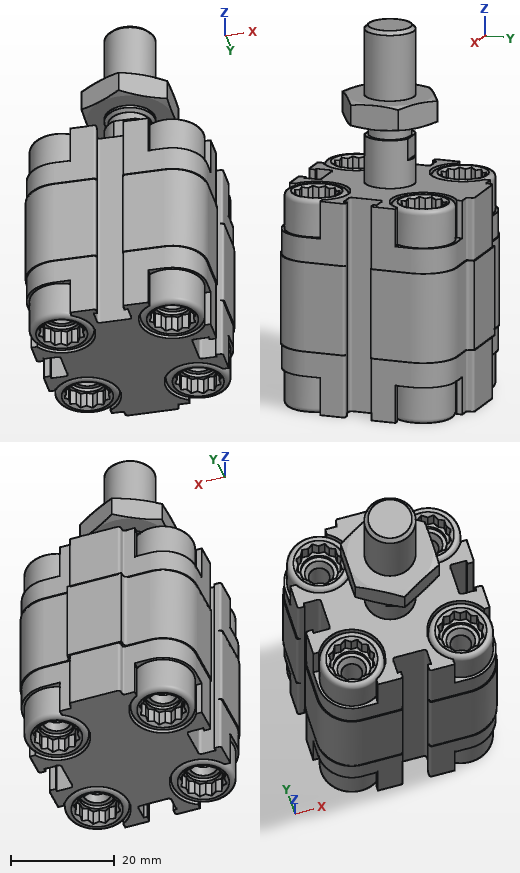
import cadquery as cq
import math

TOTAL_HEIGHT = 74.5
BODY_HEIGHT = 43.0
CAP_HEIGHT = 12.5

HEXAGON_TURN = 30.0

BARREL_WIDTH = 36.0
BARREL_HALF_WIDTH = BARREL_WIDTH / 2
CAP_STEP = 0.2
CAP_HALF_WIDTH = BARREL_HALF_WIDTH - CAP_STEP
SCREW_SPACING = 22.0
SCREW_OFFSET = SCREW_SPACING / 2

RIB_HEIGHT = 1.5
RIB_TOP_HALF_WIDTH = 5.6
RIB_BASE_HALF_WIDTH = 5.7
RIB_FOOT_FILLET = 0.7
CAP_RIB_INSET = 0.4
CAP_RIB_EDGE_FILLET = 0.5
CAP_RIB_FOOT_FILLET = 0.3

SLOT_MOUTH_WIDTH = 5.4
SLOT_INNER_WIDTH = 6.8
SLOT_FLOOR = 13.05
SLOT_LIP = 16.4
SLOT_MOUTH_FILLET = 0.45
SLOT_FLOOR_FILLET = 0.5

POCKET_DEPTH = 7.5
POCKET_WALL = 7.75
POCKET_DIAMETER = 13.05
HEAD_DIAMETER = 12.5
HEAD_FILLET = 1.0
SOCKET_RIM_DIAMETER = 10.0
SOCKET_POINT_DIAMETER = 9.1
SOCKET_TAPER = 60.0
SOCKET_DEPTH = 3.5
RECESS_DIAMETER = 7.2
RECESS_DEPTH = 0.75
BORE_COUNTERSINK_DIAMETER = 5.6
BORE_COUNTERSINK_DEPTH = 1.5
BORE_DIAMETER = 4.1

ROD_DIAMETER = 10.0
ROD_SHOULDER_Z = 52.6
NECK_DIAMETER = 8.5
NECK_HEIGHT = 1.85
NECK_TAPER_HEIGHT = 0.6
THREAD_CHAMFER = 0.75
FLATS_ACROSS = 9.0
FLATS_HEIGHT = 4.3

NUT_ACROSS_FLATS = 17.0
NUT_THICKNESS = 5.0
NUT_BOTTOM_Z = 55.6
NUT_FACE_DIAMETER = 16.7
NUT_CORNER_DROP = 0.45


def turned(half_profile):
    """Solid of revolution about Z from (radius, height) points."""
    return cq.Workplane("XZ").polyline(half_profile).close().revolve(360, (0, 0, 0), (0, 1, 0))


def rib(half_width, top_half_width, base_half_width, height):
    """Tapered rib on the +Y face of a block with the given half width."""
    top_y = half_width + RIB_HEIGHT
    outline = [
        (-base_half_width, 0),
        (-base_half_width, half_width),
        (-top_half_width, top_y),
        (top_half_width, top_y),
        (base_half_width, half_width),
        (base_half_width, 0),
    ]
    return cq.Workplane("XY").polyline(outline).close().extrude(height)


def block(half_width, height):
    """Square block, its corners rounded about the screw axes."""
    corner_radius = half_width - SCREW_OFFSET
    return (
        cq.Workplane("XY")
        .rect(2 * half_width, 2 * half_width)
        .extrude(height)
        .edges("|Z")
        .fillet(corner_radius)
    )


def block_with_rib(half_width, plain_rib, rib_base_half_width, foot_fillet, height):
    """Square block joined to its rib, with a fillet along each foot of the rib."""
    section = block(half_width, height).union(plain_rib)
    for side in (-1, 1):
        foot = (side * rib_base_half_width, half_width, height / 2)
        section = section.edges(cq.NearestToPointSelector(foot)).fillet(foot_fillet)
    return section


def barrel_section():
    """Middle section of the housing."""
    height = BODY_HEIGHT - 2 * CAP_HEIGHT
    barrel_rib = rib(BARREL_HALF_WIDTH, RIB_TOP_HALF_WIDTH, RIB_BASE_HALF_WIDTH, height)
    section = block_with_rib(BARREL_HALF_WIDTH, barrel_rib, RIB_BASE_HALF_WIDTH, RIB_FOOT_FILLET, height)
    return section.translate((0, 0, CAP_HEIGHT))


def cap_section(bottom_z):
    """End cap section of the housing, whose rib has rounded outer edges."""
    top_half_width = RIB_TOP_HALF_WIDTH - CAP_RIB_INSET
    base_half_width = RIB_BASE_HALF_WIDTH - CAP_RIB_INSET
    cap_rib = rib(CAP_HALF_WIDTH, top_half_width, base_half_width, CAP_HEIGHT)
    cap_rib = cap_rib.faces(">Y").edges("|Z").fillet(CAP_RIB_EDGE_FILLET)
    section = block_with_rib(CAP_HALF_WIDTH, cap_rib, base_half_width, CAP_RIB_FOOT_FILLET, CAP_HEIGHT)
    return section.translate((0, 0, bottom_z))


def slot_cutter(half_width, bottom_z, height):
    """T-slot on the -Y side, with filleted floor corners and a mouth that flares into the outer face."""
    mouth = SLOT_MOUTH_WIDTH / 2
    inner = SLOT_INNER_WIDTH / 2
    radius = SLOT_MOUTH_FILLET
    sag = radius * (1 - math.sqrt(0.5))
    return (
        cq.Workplane("XY", origin=(0, 0, bottom_z))
        .moveTo(-inner, -SLOT_FLOOR)
        .lineTo(inner, -SLOT_FLOOR)
        .lineTo(inner, -SLOT_LIP)
        .lineTo(mouth, -SLOT_LIP)
        .lineTo(mouth, -half_width + radius)
        .threePointArc((mouth + sag, -half_width + sag), (mouth + radius, -half_width))
        .lineTo(-mouth - radius, -half_width)
        .threePointArc((-mouth - sag, -half_width + sag), (-mouth, -half_width + radius))
        .lineTo(-mouth, -SLOT_LIP)
        .lineTo(-inner, -SLOT_LIP)
        .close()
        .extrude(height)
        .faces(">Y")
        .edges("|Z")
        .fillet(SLOT_FLOOR_FILLET)
    )


def corner_pocket():
    """Pocket at the top +X +Y corner that clears the screw head."""
    bottom_z = BODY_HEIGHT - POCKET_DEPTH
    corner_size = BARREL_HALF_WIDTH - POCKET_WALL
    corner = cq.Workplane("XY", origin=(POCKET_WALL, POCKET_WALL, bottom_z))
    corner = corner.rect(corner_size, corner_size, centered=False).extrude(POCKET_DEPTH)
    ring = cq.Workplane("XY", origin=(SCREW_OFFSET, SCREW_OFFSET, bottom_z))
    ring = ring.circle(POCKET_DIAMETER / 2).extrude(POCKET_DEPTH)
    return corner.union(ring)


def screw_head():
    """Screw head in the top +X +Y corner, with a twelve-point socket and a countersunk bore mouth."""
    bottom_z = BODY_HEIGHT - POCKET_DEPTH
    head = (
        cq.Workplane("XY", origin=(0, 0, bottom_z))
        .circle(HEAD_DIAMETER / 2)
        .extrude(POCKET_DEPTH)
        .faces(">Z")
        .edges()
        .fillet(HEAD_FILLET)
    )

    hexagon = (
        cq.Workplane("XY", origin=(0, 0, BODY_HEIGHT - SOCKET_DEPTH))
        .polygon(6, SOCKET_POINT_DIAMETER)
        .extrude(SOCKET_DEPTH)
    )
    socket = hexagon.union(hexagon.rotate((0, 0, 0), (0, 0, 1), HEXAGON_TURN))

    rim = SOCKET_RIM_DIAMETER / 2
    lead_in_depth = rim / math.tan(math.radians(SOCKET_TAPER))
    lead_in = turned([(0, BODY_HEIGHT), (rim, BODY_HEIGHT), (0, BODY_HEIGHT - lead_in_depth)])

    recess_top = BODY_HEIGHT - SOCKET_DEPTH
    recess_floor = recess_top - RECESS_DEPTH
    sink = BORE_COUNTERSINK_DIAMETER / 2
    bore = BORE_DIAMETER / 2
    sink_bottom = recess_floor - BORE_COUNTERSINK_DEPTH
    stepped = turned(
        [
            (0, recess_top),
            (RECESS_DIAMETER / 2, recess_top),
            (RECESS_DIAMETER / 2, recess_floor),
            (sink, recess_floor),
            (bore, sink_bottom),
            (0, sink_bottom),
        ]
    )

    return head.cut(socket).cut(lead_in).cut(stepped).translate((SCREW_OFFSET, SCREW_OFFSET, 0))


def four_corners(shape):
    """The shape and its copies turned about the housing axis to all four corners."""
    return [shape.rotate((0, 0, 0), (0, 0, 1), 90 * turn) for turn in range(4)]


def both_ends(shape):
    """The shape and its mirror image about the middle of the housing height."""
    return [shape, shape.mirror("XY", (0, 0, BODY_HEIGHT / 2))]


def make_housing():
    barrel_top = BODY_HEIGHT - CAP_HEIGHT
    housing = barrel_section().union(cap_section(0)).union(cap_section(barrel_top))

    slot = (
        slot_cutter(BARREL_HALF_WIDTH, CAP_HEIGHT, barrel_top - CAP_HEIGHT)
        .union(slot_cutter(CAP_HALF_WIDTH, 0, CAP_HEIGHT))
        .union(slot_cutter(CAP_HALF_WIDTH, barrel_top, CAP_HEIGHT))
    )
    for angle in (-90, 0, 90):
        housing = housing.cut(slot.rotate((0, 0, 0), (0, 0, 1), angle))

    for pocket in both_ends(corner_pocket()):
        for cutter in four_corners(pocket):
            housing = housing.cut(cutter)
    for head in both_ends(screw_head()):
        for corner_head in four_corners(head):
            housing = housing.union(corner_head)

    housing = housing.cut(
        cq.Workplane("XY")
        .rect(SCREW_SPACING, SCREW_SPACING, forConstruction=True)
        .vertices()
        .circle(BORE_DIAMETER / 2)
        .extrude(BODY_HEIGHT)
    )

    rod_seat = cq.Workplane("XY", origin=(0, 0, barrel_top)).circle(ROD_DIAMETER / 2).extrude(CAP_HEIGHT)
    return housing.cut(rod_seat)


def make_rod():
    """Piston rod, seated in the top cap, with a neck and a threaded end."""
    seat_z = BODY_HEIGHT - CAP_HEIGHT
    rod_radius = ROD_DIAMETER / 2
    neck_radius = NECK_DIAMETER / 2
    neck_top = ROD_SHOULDER_Z + NECK_HEIGHT
    half_profile = [
        (0, seat_z),
        (rod_radius, seat_z),
        (rod_radius, ROD_SHOULDER_Z),
        (neck_radius, ROD_SHOULDER_Z),
        (neck_radius, neck_top),
        (rod_radius, neck_top + NECK_TAPER_HEIGHT),
        (rod_radius, TOTAL_HEIGHT - THREAD_CHAMFER),
        (rod_radius - THREAD_CHAMFER, TOTAL_HEIGHT),
        (0, TOTAL_HEIGHT),
    ]
    rod = turned(half_profile)

    for side in (-1, 1):
        cutter_y = side * (FLATS_ACROSS + ROD_DIAMETER) / 2
        cutter_z = ROD_SHOULDER_Z - FLATS_HEIGHT / 2
        cutter = cq.Workplane("XY").box(ROD_DIAMETER, ROD_DIAMETER, FLATS_HEIGHT)
        rod = rod.cut(cutter.translate((0, cutter_y, cutter_z)))
    return rod


def make_nut():
    """Hexagonal lock nut with two corners on the Y axis, chamfered on both faces."""
    corner_radius = NUT_ACROSS_FLATS / 2 / math.cos(math.pi / 6)
    face_radius = NUT_FACE_DIAMETER / 2
    nut_top = NUT_BOTTOM_Z + NUT_THICKNESS
    hexagon = (
        cq.Workplane("XY", origin=(0, 0, NUT_BOTTOM_Z))
        .polygon(6, 2 * corner_radius)
        .extrude(NUT_THICKNESS)
        .rotate((0, 0, 0), (0, 0, 1), HEXAGON_TURN)
    )
    chamfer_envelope = turned(
        [
            (0, NUT_BOTTOM_Z),
            (face_radius, NUT_BOTTOM_Z),
            (corner_radius, NUT_BOTTOM_Z + NUT_CORNER_DROP),
            (corner_radius, nut_top - NUT_CORNER_DROP),
            (face_radius, nut_top),
            (0, nut_top),
        ]
    )
    thread_hole = (
        cq.Workplane("XY", origin=(0, 0, NUT_BOTTOM_Z)).circle(ROD_DIAMETER / 2).extrude(NUT_THICKNESS)
    )
    return hexagon.intersect(chamfer_envelope).cut(thread_hole)


housing = make_housing()
rod = make_rod()
nut = make_nut()

result = cq.Compound.makeCompound([housing.val(), rod.val(), nut.val()])